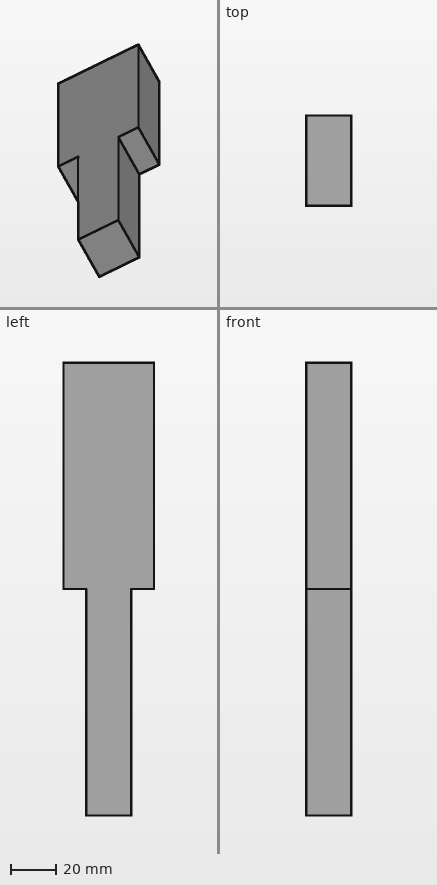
import cadquery as cq

total_height = 200
thickness = 20
head_width = 40
shank_width = 20
head_height = 100
shank_height = total_height - head_height

shank = cq.Workplane("XY").box(thickness, shank_width, shank_height, centered=(True, True, False))

head = (
    cq.Workplane("XY", origin=(0, 0, shank_height))
    .box(thickness, head_width, head_height, centered=(True, True, False))
)

result = shank.union(head)